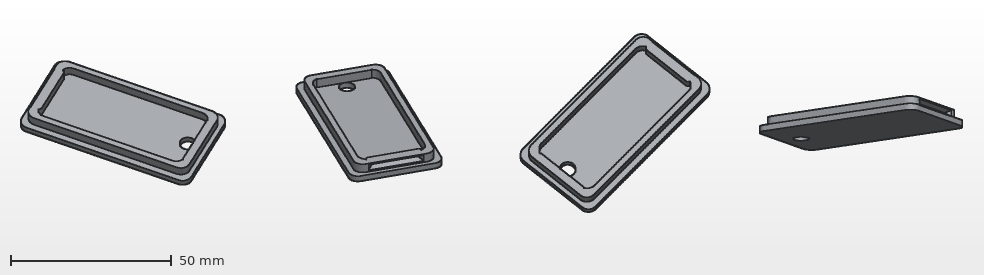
import cadquery as cq

base_length = 58.2
base_width = 30.25
base_height = 2.0
corner_radius = 3.0

total_height = 5.0
rim_height = total_height - base_height
rim_length = 55.0
rim_width = 26.1

pocket_length = 50.05
pocket_width = 22.05

pad_width = 18.05
left_pad_thickness = 1.0
left_pad_edge_radius = 0.9
right_pad_thickness = 0.35
right_pad_edge_radius = 0.3
pad_overlap = 0.6

recess_width = pad_width
recess_height = 2.05
recess_center_z = 3.55
recess_depth = 1.45
recess_ridge_width = recess_width - 2 * recess_depth

hole_diameter = 5.0
hole_x = pocket_length / 2 - right_pad_thickness - hole_diameter / 2


def rounded_plate(length, width, height, bottom_z):
    """Centered plate with rounded upright corners."""
    plate = cq.Workplane("XY").box(length, width, height, centered=(True, True, False))
    return plate.edges("|Z").fillet(corner_radius).translate((0, 0, bottom_z))


def left_end_pad(thickness, edge_radius):
    """Full-height pad on the -X end wall of the pocket."""
    depth = thickness + pad_overlap
    pad = cq.Workplane("XY").box(depth, pad_width, rim_height, centered=(False, True, False))
    pad = pad.edges("|Z and >X").fillet(edge_radius)
    return pad.translate((-pocket_length / 2 - pad_overlap, 0, base_height))


def wedge_recess():
    """Solid that narrows from a rectangle at the rim face to a ridge inside the wall."""
    outer_x = -rim_length / 2
    ridge_x = outer_x + recess_depth
    half_width = recess_width / 2
    half_ridge = recess_ridge_width / 2
    low_z = recess_center_z - recess_height / 2
    high_z = recess_center_z + recess_height / 2
    low_back = (outer_x, half_width, low_z)
    low_front = (outer_x, -half_width, low_z)
    high_back = (outer_x, half_width, high_z)
    high_front = (outer_x, -half_width, high_z)
    ridge_back = (ridge_x, half_ridge, recess_center_z)
    ridge_front = (ridge_x, -half_ridge, recess_center_z)
    outlines = [
        [low_back, low_front, high_front, high_back],
        [low_back, low_front, ridge_front, ridge_back],
        [high_back, high_front, ridge_front, ridge_back],
        [low_back, high_back, ridge_back],
        [low_front, high_front, ridge_front],
    ]
    faces = []
    for outline in outlines:
        corners = [cq.Vector(*corner) for corner in outline]
        faces.append(cq.Face.makeFromWires(cq.Wire.makePolygon(corners, close=True)))
    return cq.Workplane(cq.Solid.makeSolid(cq.Shell.makeShell(faces)))


base = rounded_plate(base_length, base_width, base_height, 0)
rim = rounded_plate(rim_length, rim_width, rim_height, base_height)
pocket = rounded_plate(pocket_length, pocket_width, rim_height, base_height)
left_pad = left_end_pad(left_pad_thickness, left_pad_edge_radius)
right_pad = left_end_pad(right_pad_thickness, right_pad_edge_radius).mirror("YZ")
hole = cq.Workplane("XY").center(hole_x, 0).circle(hole_diameter / 2).extrude(base_height)

result = base.union(rim.cut(pocket)).union(left_pad).union(right_pad)
result = result.cut(wedge_recess()).cut(hole)